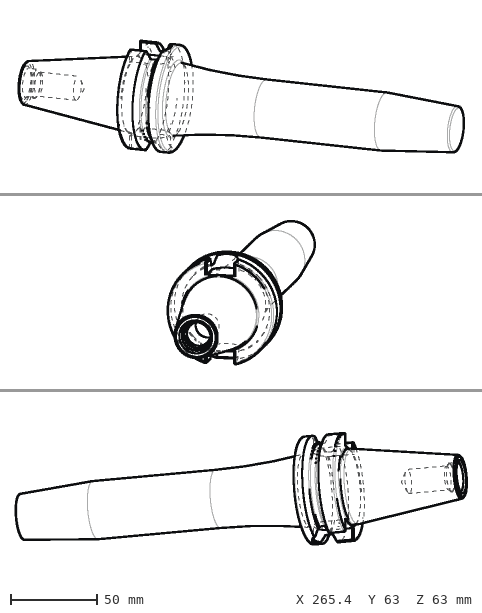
import cadquery as cq
import math

GAUGE_DIAMETER = 44.45
TAPER_RATIO = 7 / 24
SHANK_LENGTH = 65.4
SHANK_END_CHAMFER = 1.0
TAPER_RUNOUT = 1.0

FLANGE_DIAMETER = 63.0
FLANGE_START = 2.0
FLANGE_END = 27.0
FLANGE_FILLET = 1.0
COLLAR_FILLET = 0.8
NECK_FILLET = 1.5

GROOVE_CENTER = 16.6
GROOVE_FLOOR_DIAMETER = 53.0
GROOVE_FLOOR_WIDTH = 4.0
GROOVE_HALF_ANGLE = 30.0
GROOVE_FLOOR_FILLET = 1.0
GROOVE_OVERCUT = 1.0

SLOT_WIDTH = 16.1
SLOT_END = 23.4
SLOT_CHAMFER = 0.9
SLOT_FLOOR_HEIGHT = 22.5

NOSE_END = 200.0
NECK_DIAMETER = 42.5
BODY_DIAMETER = 34.0
FLARE_END = 81.4
TIP_START = 155.4
TIP_DIAMETER = 27.0
TIP_FILLET = 1.0

COUNTERSINK_DIAMETER = 19.5
PILOT_DIAMETER = 17.0
PILOT_DEPTH = 6.5
THREAD_DIAMETER = 16.0
TAP_DRILL_DIAMETER = 14.0
THREAD_LEAD_HALF_ANGLE = 30.0
TAP_DRILL_DEPTH = 32.0
DRILL_POINT_HALF_ANGLE = 59.0


def taper_radius(x):
    """Radius of the shank taper at station x."""
    return (GAUGE_DIAMETER + x * TAPER_RATIO) / 2


def make_body():
    """Turned blank: shank, flange without its groove, and nose."""
    shank_start = -SHANK_LENGTH
    chamfer_end = shank_start + SHANK_END_CHAMFER
    flange_radius = FLANGE_DIAMETER / 2
    body_radius = BODY_DIAMETER / 2
    neck_radius = NECK_DIAMETER / 2
    neck_start = FLANGE_END + NECK_FILLET
    flare_run = FLARE_END - neck_start
    flare_rise = neck_radius - body_radius
    flare_radius = (flare_run**2 + flare_rise**2) / (2 * flare_rise)
    half_sweep = math.asin(flare_run / flare_radius) / 2
    flare_mid = (
        FLARE_END - flare_radius * math.sin(half_sweep),
        body_radius + flare_radius * (1 - math.cos(half_sweep)),
    )
    collar_radius = taper_radius(-TAPER_RUNOUT)
    tip_radius = TIP_DIAMETER / 2
    profile = (
        cq.Workplane("XY")
        .moveTo(shank_start, 0)
        .lineTo(shank_start, taper_radius(chamfer_end) - SHANK_END_CHAMFER)
        .lineTo(chamfer_end, taper_radius(chamfer_end))
        .lineTo(-TAPER_RUNOUT, collar_radius)
        .lineTo(FLANGE_START - COLLAR_FILLET, collar_radius)
        .radiusArc((FLANGE_START, collar_radius + COLLAR_FILLET), -COLLAR_FILLET)
        .lineTo(FLANGE_START, flange_radius - FLANGE_FILLET)
        .radiusArc((FLANGE_START + FLANGE_FILLET, flange_radius), FLANGE_FILLET)
        .lineTo(FLANGE_END - FLANGE_FILLET, flange_radius)
        .radiusArc((FLANGE_END, flange_radius - FLANGE_FILLET), FLANGE_FILLET)
        .lineTo(FLANGE_END, neck_radius + NECK_FILLET)
        .radiusArc((neck_start, neck_radius), -NECK_FILLET)
        .threePointArc(flare_mid, (FLARE_END, body_radius))
        .lineTo(TIP_START, body_radius)
        .lineTo(NOSE_END - TIP_FILLET, tip_radius)
        .radiusArc((NOSE_END, tip_radius - TIP_FILLET), TIP_FILLET)
        .lineTo(NOSE_END, 0)
        .close()
    )
    return profile.revolve(360, (0, 0, 0), (1, 0, 0))


def make_groove():
    """Ring cutter for the V-groove, with rounded floor corners."""
    floor_radius = GROOVE_FLOOR_DIAMETER / 2
    wall_angle = math.radians(GROOVE_HALF_ANGLE)
    outer_radius = FLANGE_DIAMETER / 2 + GROOVE_OVERCUT
    mouth_half = GROOVE_FLOOR_WIDTH / 2 + (outer_radius - floor_radius) * math.tan(wall_angle)
    setback = GROOVE_FLOOR_FILLET * math.tan((math.pi / 2 - wall_angle) / 2)
    wall_tangent_half = GROOVE_FLOOR_WIDTH / 2 + setback * math.sin(wall_angle)
    wall_tangent_radius = floor_radius + setback * math.cos(wall_angle)
    floor_tangent_half = GROOVE_FLOOR_WIDTH / 2 - setback
    profile = (
        cq.Workplane("XY")
        .moveTo(GROOVE_CENTER - mouth_half, outer_radius)
        .lineTo(GROOVE_CENTER - wall_tangent_half, wall_tangent_radius)
        .radiusArc((GROOVE_CENTER - floor_tangent_half, floor_radius), -GROOVE_FLOOR_FILLET)
        .lineTo(GROOVE_CENTER + floor_tangent_half, floor_radius)
        .radiusArc((GROOVE_CENTER + wall_tangent_half, wall_tangent_radius), -GROOVE_FLOOR_FILLET)
        .lineTo(GROOVE_CENTER + mouth_half, outer_radius)
        .close()
    )
    return profile.revolve(360, (0, 0, 0), (1, 0, 0))


def make_drive_slot(side):
    """Round-ended slot cutter above (side 1) or below (side -1) the axis."""
    slot_radius = SLOT_WIDTH / 2
    arc_center = SLOT_END - slot_radius
    return (
        cq.Workplane("XY", origin=(0, 0, side * SLOT_FLOOR_HEIGHT))
        .moveTo(0, -slot_radius)
        .lineTo(arc_center, -slot_radius)
        .threePointArc((SLOT_END, 0), (arc_center, slot_radius))
        .lineTo(0, slot_radius)
        .close()
        .extrude(side * FLANGE_DIAMETER)
    )


def make_stud_bore():
    """Stepped blind bore: countersink, pilot, thread lead-in, tap drill and its point."""
    mouth = -SHANK_LENGTH
    countersink_radius = COUNTERSINK_DIAMETER / 2
    pilot_radius = PILOT_DIAMETER / 2
    thread_radius = THREAD_DIAMETER / 2
    drill_radius = TAP_DRILL_DIAMETER / 2
    pilot_end = mouth + PILOT_DEPTH
    drill_end = mouth + TAP_DRILL_DEPTH
    lead_length = (thread_radius - drill_radius) / math.tan(math.radians(THREAD_LEAD_HALF_ANGLE))
    point_length = drill_radius / math.tan(math.radians(DRILL_POINT_HALF_ANGLE))
    profile = (
        cq.Workplane("XY")
        .moveTo(mouth, 0)
        .lineTo(mouth, countersink_radius)
        .lineTo(mouth + countersink_radius - pilot_radius, pilot_radius)
        .lineTo(pilot_end, pilot_radius)
        .lineTo(pilot_end, thread_radius)
        .lineTo(pilot_end + lead_length, drill_radius)
        .lineTo(drill_end, drill_radius)
        .lineTo(drill_end + point_length, 0)
        .close()
    )
    return profile.revolve(360, (0, 0, 0), (1, 0, 0))


def cut_drive_slots(body):
    """Cut both drive slots and chamfer their rims."""
    slotted = body
    for side in (1, -1):
        slotted = slotted.cut(make_drive_slot(side))
    return slotted.edges("|Z").edges("<X").chamfer(SLOT_CHAMFER)


result = cut_drive_slots(make_body()).cut(make_groove()).cut(make_stud_bore())